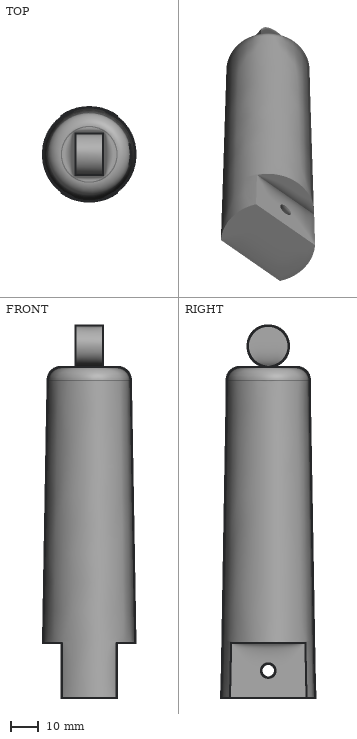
import cadquery as cq
import math

handle_height = 120.0
handle_top_radius = 15.0
taper_angle = 1.0
handle_base_radius = handle_top_radius + handle_height * math.tan(math.radians(taper_angle))
top_edge_fillet = 5.0

tongue_thickness = 20.0
tongue_height = 20.0
cross_hole_diameter = 5.0
cross_hole_height = tongue_height / 2

disc_diameter = 15.0
disc_width = 10.0
disc_center_height = handle_height + disc_diameter / 2


def make_tapered_shaft():
    """Cone frustum with a rounded top edge."""
    shaft = cq.Workplane("XY").circle(handle_base_radius).extrude(handle_height, taper=taper_angle)
    return shaft.faces(">Z").edges().fillet(top_edge_fillet)


def make_side_cutter(side):
    """Block that removes the foot beyond the tongue on one side, +1 or -1 along X."""
    cutter_depth = handle_base_radius
    cutter_center = side * (tongue_thickness + cutter_depth) / 2
    return (
        cq.Workplane("XY")
        .center(cutter_center, 0)
        .rect(cutter_depth, 2 * handle_base_radius)
        .extrude(tongue_height)
    )


def make_cross_hole():
    """Pin hole running through the tongue along X."""
    return (
        cq.Workplane("YZ", origin=(-tongue_thickness / 2, 0, cross_hole_height))
        .circle(cross_hole_diameter / 2)
        .extrude(tongue_thickness)
    )


def make_handle():
    """Tapered shaft with a flat, drilled tongue at its foot."""
    body = make_tapered_shaft()
    for side in (-1, 1):
        body = body.cut(make_side_cutter(side))
    return body.cut(make_cross_hole())


def make_disc():
    """Round disc centred on the handle axis, touching the handle's top face."""
    return (
        cq.Workplane("YZ", origin=(-disc_width / 2, 0, disc_center_height))
        .circle(disc_diameter / 2)
        .extrude(disc_width)
    )


handle = make_handle()
disc = make_disc()

result = cq.Compound.makeCompound([handle.solids().val(), disc.solids().val()])